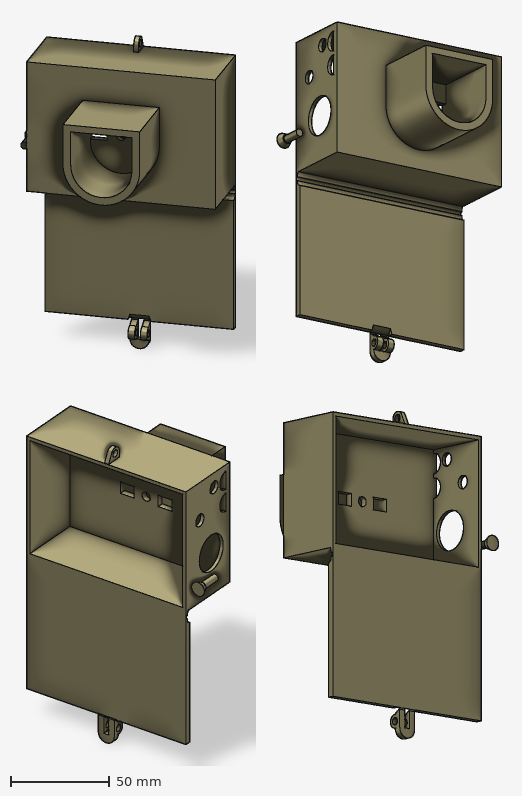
import cadquery as cq
import math

box_width = 100.0
box_height = 70.3
box_depth = 38.5
front_wall = 3.5
side_wall = 2.0

tube_radius = 20.3
tube_bore_radius = 16.2
tube_top_wall = 3.5
tube_end_y = -76.0
tube_arc_z = 30.9
tube_top_z = 52.4

window_width = 8.7
window_height = 6.7
window_z = 35.1
screw_hole_diameter = 5.1

round_diameter = 7.0
round_centers = [(-24.7, 61.8), (-12.3, 48.1)]
cable_diameter = 21.0
cable_center = (-22.2, 24.4)
half_round_radius = 5.3
half_round_heights = [61.1, 48.3]

lid_thickness = 3.5
lid_top_z = -7.7
lid_bottom_z = -77.6
hinge_web = 1.5
hinge_min = 0.3
hinge_fillet = lid_thickness - hinge_web
root_top_z = 0.5
groove_top_z = -2.5
groove_bottom_z = -4.6

tab_width = 2.5
tab_radius = 3.5
tab_hole_diameter = 4.0
tab_y = -6.1
tab_setback = 0.3
tab_slope_angle = 30
tab_top_z = 77.6
tab_center_z = tab_top_z - tab_radius

clip_width = 10.0
clip_slot_width = 3.0
clip_strip = 0.5
ear_y = -3.8
ear_z = -84.3
ear_radius = 3.5
ear_hole_diameter = 3.8
ear_top_z = -78.5
ear_shoulder_y = -2.0
ear_shoulder_z = -79.3
clip_end_z = -93.0
clip_round_radius = clip_width / 2
clip_plate_top_z = clip_end_z + clip_round_radius
notch_top_z = -74.7
notch_flare = 1.0

overall_width = 111.6
head_diameter = 8.0
head_base_diameter = 5.1
head_height = 3.5
shank_diameter = 4.0
screw_length = 15.0
screw_x = box_width / 2 - overall_width + head_diameter / 2
screw_z = 15.9


def block(x_size, y_front, y_back, z_low, z_high):
    """Box centred on X = 0 between the given Y and Z limits."""
    return cq.Workplane("XY").box(x_size, y_back - y_front, z_high - z_low).translate(
        (0, (y_front + y_back) / 2, (z_low + z_high) / 2)
    )


def rod_along_x(diameter, y, z, length, x_start):
    return cq.Workplane("YZ", origin=(x_start, y, z)).circle(diameter / 2).extrude(length)


def d_prism(radius, top_z, y_front, y_back):
    """Prism along Y with a flat top and a semicircular bottom."""
    return (
        cq.Workplane("XZ", origin=(0, y_back, 0))
        .moveTo(-radius, top_z)
        .lineTo(-radius, tube_arc_z)
        .threePointArc((0, tube_arc_z - radius), (radius, tube_arc_z))
        .lineTo(radius, top_z)
        .close()
        .extrude(y_back - y_front)
    )


def make_box_and_tube():
    box = block(box_width, -box_depth, 0, 0, box_height)
    cavity = block(
        box_width - 2 * side_wall, front_wall - box_depth, 0, side_wall, box_height - side_wall
    )
    tube = d_prism(tube_radius, tube_top_z, tube_end_y, -box_depth)
    bore = d_prism(tube_bore_radius, tube_top_z - tube_top_wall, tube_end_y, -box_depth)
    return box.cut(cavity).union(tube.cut(bore))


def make_front_openings():
    back_y = front_wall - box_depth
    openings = (
        cq.Workplane("XZ", origin=(0, back_y, window_z))
        .circle(screw_hole_diameter / 2)
        .extrude(front_wall)
    )
    window = block(
        window_width, -box_depth, back_y, window_z - window_height / 2, window_z + window_height / 2
    )
    window_x = tube_bore_radius - window_width / 2
    for side in (-1, 1):
        openings = openings.union(window.translate((side * window_x, 0, 0)))
    return openings


def make_left_openings():
    left_x = -box_width / 2
    openings = rod_along_x(cable_diameter, *cable_center, side_wall, left_x)
    for y, z in round_centers:
        openings = openings.union(rod_along_x(round_diameter, y, z, side_wall, left_x))
    flat_y = front_wall - box_depth
    for z in half_round_heights:
        half_round = (
            cq.Workplane("YZ", origin=(left_x, flat_y, z))
            .moveTo(0, -half_round_radius)
            .threePointArc((half_round_radius, 0), (0, half_round_radius))
            .close()
            .extrude(side_wall)
        )
        openings = openings.union(half_round)
    return openings


def make_lid_and_hinge():
    """Lid and hinge share one (Y, Z) profile; the top runs into the box floor."""
    profile = (
        cq.Workplane("YZ")
        .moveTo(0, side_wall)
        .lineTo(0, lid_bottom_z)
        .lineTo(-lid_thickness, lid_bottom_z)
        .lineTo(-lid_thickness, lid_top_z)
        .radiusArc((-hinge_web, lid_top_z + hinge_fillet), -hinge_fillet)
        .lineTo(-hinge_web, groove_bottom_z)
        .threePointArc((-hinge_min, (groove_bottom_z + groove_top_z) / 2), (-hinge_web, groove_top_z))
        .lineTo(-hinge_web, root_top_z - hinge_fillet)
        .radiusArc((-lid_thickness, root_top_z), -hinge_fillet)
        .lineTo(-lid_thickness, side_wall)
        .close()
    )
    return profile.extrude(box_width / 2, both=True)


def make_tab():
    """Ear with a sloped back, a round top and a straight front."""
    angle = math.radians(tab_slope_angle)
    slope_end_y = tab_y + tab_radius * math.cos(angle)
    slope_end_z = tab_center_z + tab_radius * math.sin(angle)
    tab = (
        cq.Workplane("YZ")
        .moveTo(-tab_setback, box_height)
        .lineTo(slope_end_y, slope_end_z)
        .threePointArc((tab_y, tab_top_z), (tab_y - tab_radius, tab_center_z))
        .lineTo(tab_y - tab_radius, box_height)
        .close()
        .extrude(tab_width / 2, both=True)
    )
    return tab.cut(rod_along_x(tab_hole_diameter, tab_y, tab_center_z, tab_width, -tab_width / 2))


def make_clip():
    """Two slotted ears on a round-ended plate, hung from the lid by thin strips."""
    ears = (
        cq.Workplane("YZ")
        .moveTo(0, lid_bottom_z)
        .lineTo(-clip_strip, lid_bottom_z)
        .lineTo(-clip_strip, ear_top_z)
        .lineTo(ear_shoulder_y, ear_shoulder_z)
        .lineTo(ear_y, ear_z + ear_radius)
        .threePointArc((ear_y - ear_radius, ear_z), (ear_y, ear_z - ear_radius))
        .lineTo(0, ear_z - ear_radius)
        .close()
        .extrude(clip_width / 2, both=True)
    )
    ears = ears.cut(rod_along_x(ear_hole_diameter, ear_y, ear_z, clip_width, -clip_width / 2))
    ears = ears.cut(block(clip_slot_width, ear_y - ear_radius, 0, ear_z - ear_radius, lid_bottom_z))
    plate = (
        cq.Workplane("XZ")
        .moveTo(-clip_round_radius, ear_z - ear_radius)
        .lineTo(-clip_round_radius, clip_plate_top_z)
        .threePointArc((0, clip_end_z), (clip_round_radius, clip_plate_top_z))
        .lineTo(clip_round_radius, ear_z - ear_radius)
        .close()
        .extrude(lid_thickness)
    )
    return ears.union(plate)


def make_lid_notch():
    """Bevel in the lid edge above the clip, flared at its sides."""
    bevel = (
        cq.Workplane("YZ")
        .moveTo(-lid_thickness, notch_top_z)
        .lineTo(-clip_strip, lid_bottom_z)
        .lineTo(-lid_thickness, lid_bottom_z)
        .close()
        .extrude(box_width / 2, both=True)
    )
    half_top = clip_width / 2
    half_bottom = half_top + notch_flare
    outline = (
        cq.Workplane("XZ")
        .polyline([
            (-half_top, notch_top_z),
            (half_top, notch_top_z),
            (half_bottom, lid_bottom_z),
            (-half_bottom, lid_bottom_z),
        ])
        .close()
        .extrude(lid_thickness)
    )
    return bevel.intersect(outline)


def make_housing():
    housing = make_box_and_tube().cut(make_front_openings()).cut(make_left_openings())
    lid = make_lid_and_hinge().cut(make_lid_notch())
    return housing.union(lid).union(make_tab()).union(make_clip())


def make_screw():
    return (
        cq.Workplane("XY")
        .polyline([
            (0, 0),
            (head_diameter / 2, 0),
            (head_base_diameter / 2, -head_height),
            (shank_diameter / 2, -head_height),
            (shank_diameter / 2, -screw_length),
            (0, -screw_length),
        ])
        .close()
        .revolve(360, (0, 0, 0), (0, 1, 0))
        .translate((screw_x, 0, screw_z))
    )


housing = make_housing()
screw = make_screw()

result = cq.Compound.makeCompound([housing.val(), screw.val()])